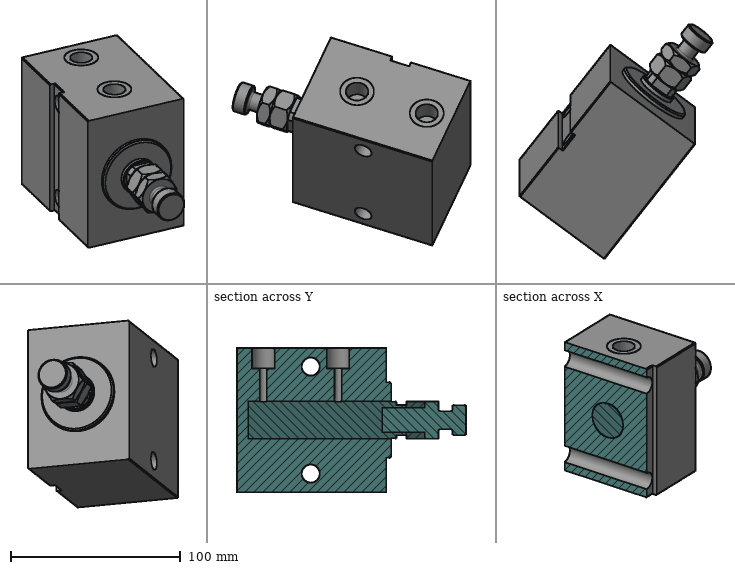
import cadquery as cq
import math

HOUSING_LENGTH = 88.0
HOUSING_WIDTH = 63.0
HOUSING_HEIGHT = 85.0
EDGE_CHAMFER = 0.5

COLLAR_DIAMETER = 45.0
COLLAR_LENGTH = 3.0
COLLAR_CHAMFER = 1.0

GROOVE_X = 43.5
GROOVE_WIDTH = 11.9
GROOVE_DEPTH = 3.0
MOUNT_HOLE_DIAMETER = 10.5
MOUNT_HOLE_SPACING = 63.0

REAR_PORT_X = 15.5
PORT_SPACING = 44.0
PORT_DIAMETER = 13.1
PORT_DEPTH = 12.0
SPOT_FACE_DIAMETER = 20.0
SPOT_FACE_DEPTH = 0.1
OIL_HOLE_DIAMETER = 4.0

ROD_DIAMETER = 22.0
ROD_START_X = 6.8
ROD_SHOULDER_X = HOUSING_LENGTH + 6.1
ROD_END_X = HOUSING_LENGTH + 11.7
ROD_CHAMFER = 0.7
ROD_TIP_DIAMETER = 21.0
ROD_FLATS = 18.0

HEX_FLATS = ROD_DIAMETER
HEX_CORNERS = HEX_FLATS / math.cos(math.pi / 6)
HEX_CHAMFER = 1.9
NUT_LENGTH = 11.1
PIN_HEX_LENGTH = 8.0
NECK_LENGTH = 8.1
NECK_DIAMETER = 11.0
NECK_FILLET = 1.1
HEAD_DIAMETER = 18.0
HEAD_CHAMFER = 0.7
OVERALL_LENGTH = 135.0
STUD_DIAMETER = 14.0
STUD_DEPTH_IN_ROD = 14.0

NUT_END_X = ROD_END_X + NUT_LENGTH
PIN_HEX_END_X = NUT_END_X + PIN_HEX_LENGTH
HEAD_START_X = PIN_HEX_END_X + NECK_LENGTH
STUD_START_X = ROD_END_X - STUD_DEPTH_IN_ROD


def cylinder_x(diameter, start_x, end_x):
    """Cylinder on the X axis, turned from a half section on the +Z side."""
    half_section = (
        cq.Workplane("XZ")
        .moveTo(start_x, 0)
        .lineTo(start_x, diameter / 2)
        .lineTo(end_x, diameter / 2)
        .lineTo(end_x, 0)
        .close()
    )
    return half_section.revolve(360, (0, 0, 0), (1, 0, 0))


def chamfered_hexagon(start_x, end_x):
    """Hexagon along X with corners on +-Y and its corners turned down at both ends."""
    prism = (
        cq.Workplane("YZ")
        .workplane(offset=start_x)
        .polygon(6, HEX_CORNERS)
        .extrude(end_x - start_x)
    )
    envelope = cylinder_x(HEX_CORNERS, start_x, end_x).edges("%CIRCLE").chamfer(HEX_CHAMFER)
    return prism.intersect(envelope)


def make_collar():
    collar = cylinder_x(COLLAR_DIAMETER, HOUSING_LENGTH, HOUSING_LENGTH + COLLAR_LENGTH)
    return collar.faces(">X").edges().chamfer(COLLAR_CHAMFER)


def make_port_cutter(port_x):
    """Spot face, threaded port and oil hole, one below another, down to the rod axis."""
    top = cq.Workplane("XY", origin=(port_x, 0, HOUSING_HEIGHT / 2))
    spot_face = top.circle(SPOT_FACE_DIAMETER / 2).extrude(-SPOT_FACE_DEPTH)
    port = top.circle(PORT_DIAMETER / 2).extrude(-PORT_DEPTH)
    oil_hole = top.circle(OIL_HOLE_DIAMETER / 2).extrude(-HOUSING_HEIGHT / 2)
    return spot_face.union(port).union(oil_hole)


def make_housing():
    block = cq.Workplane("XY").box(HOUSING_LENGTH, HOUSING_WIDTH, HOUSING_HEIGHT)
    block = block.translate((HOUSING_LENGTH / 2, 0, 0))
    groove = cq.Workplane("XY").box(GROOVE_WIDTH, 2 * GROOVE_DEPTH, HOUSING_HEIGHT)
    groove = groove.translate((GROOVE_X, -HOUSING_WIDTH / 2, 0))
    grooved_block = block.cut(groove).edges("|X").chamfer(EDGE_CHAMFER)

    mount_holes = (
        cq.Workplane("XZ", origin=(GROOVE_X, 0, 0))
        .rarray(1.4, MOUNT_HOLE_SPACING, 1, 2)
        .circle(MOUNT_HOLE_DIAMETER / 2)
        .extrude(HOUSING_WIDTH, both=True)
    )
    rod_bore = cylinder_x(ROD_DIAMETER, ROD_START_X, HOUSING_LENGTH + COLLAR_LENGTH)

    housing = grooved_block.union(make_collar()).cut(mount_holes).cut(rod_bore)
    for port_x in (REAR_PORT_X, REAR_PORT_X + PORT_SPACING):
        housing = housing.cut(make_port_cutter(port_x))
    return housing


def make_rod():
    """Round rod with a chamfered shoulder and four wrench flats on its tip."""
    shaft = cylinder_x(ROD_DIAMETER, ROD_START_X, ROD_SHOULDER_X)
    shaft = shaft.faces(">X").edges().chamfer(ROD_CHAMFER)
    tip = cylinder_x(ROD_TIP_DIAMETER, ROD_SHOULDER_X, ROD_END_X)
    square = (
        cq.Workplane("YZ")
        .workplane(offset=ROD_SHOULDER_X)
        .rect(ROD_FLATS, ROD_FLATS)
        .extrude(ROD_END_X - ROD_SHOULDER_X)
    )
    stud_hole = cylinder_x(STUD_DIAMETER, STUD_START_X, ROD_END_X)
    return shaft.union(tip.intersect(square)).cut(stud_hole)


def make_lock_nut():
    bore = cylinder_x(STUD_DIAMETER, ROD_END_X, NUT_END_X)
    return chamfered_hexagon(ROD_END_X, NUT_END_X).cut(bore)


def make_coupling_pin():
    """Stud, hexagon, neck and round head in one piece."""
    stud = cylinder_x(STUD_DIAMETER, STUD_START_X, NUT_END_X)
    hexagon = chamfered_hexagon(NUT_END_X, PIN_HEX_END_X)
    neck = cylinder_x(NECK_DIAMETER, PIN_HEX_END_X, HEAD_START_X)
    head = cylinder_x(HEAD_DIAMETER, HEAD_START_X, OVERALL_LENGTH)
    head = head.edges("%CIRCLE").chamfer(HEAD_CHAMFER)

    outer_part = hexagon.union(neck).union(head)
    neck_ends = outer_part.edges("%CIRCLE").edges(cq.selectors.RadiusNthSelector(0))
    return neck_ends.fillet(NECK_FILLET).union(stud)


housing = make_housing()
rod = make_rod()
lock_nut = make_lock_nut()
coupling_pin = make_coupling_pin()

result = cq.Compound.makeCompound([housing.val(), rod.val(), lock_nut.val(), coupling_pin.val()])